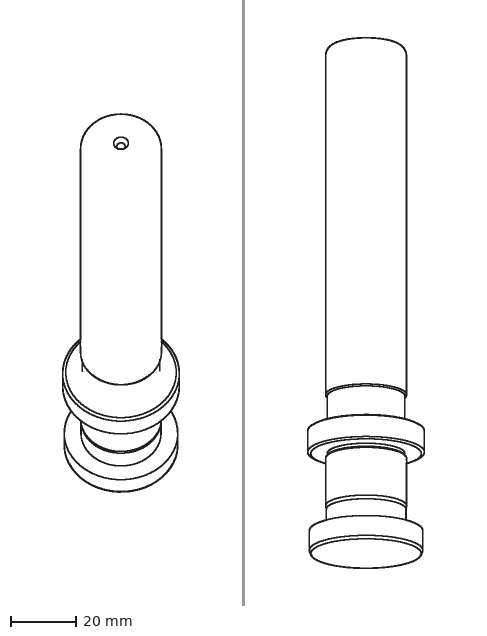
import cadquery as cq
import math

total_height = 162.0
shaft_radius = 12.5
parting_height = 14.1

flange_radius = 17.5
spigot_radius = 12.3
flange_height = 7.3
flange_chamfer_width = 0.5
flange_chamfer_height = 1.0

relief_depth = 0.5
neck_radius = shaft_radius - relief_depth
lower_edge_chamfer = 1.1
tip_fillet = 3.0
collar_radius = 18.0
collar_bottom = 31.9
collar_height = 7.8
collar_top = collar_bottom + collar_height
collar_chamfer_width = 1.0
collar_chamfer_height = 0.5
collar_root_fillet = 1.3
lower_groove_height = 1.5
upper_neck_top = 50.7
relief_taper = 0.5

center_hole_radius = 1.3
center_hole_depth = 4.9
drill_point_angle = 118.0
countersink_radius = 2.3
countersink_angle = 60.0


def make_end_plug():
    """Flange with a beveled lower edge and a plain spigot on top."""
    return (
        cq.Workplane("XZ")
        .moveTo(0, 0)
        .lineTo(flange_radius - flange_chamfer_width, 0)
        .lineTo(flange_radius, flange_chamfer_height)
        .lineTo(flange_radius, flange_height)
        .lineTo(spigot_radius, flange_height)
        .lineTo(spigot_radius, parting_height)
        .lineTo(0, parting_height)
        .close()
        .revolve(360, (0, 0), (0, 1))
    )


def make_center_hole():
    """Blind pilot hole with a conical countersink and a drill point, as a cutting tool."""
    half_angle = math.radians(countersink_angle / 2)
    countersink_depth = (countersink_radius - center_hole_radius) / math.tan(half_angle)
    point_depth = center_hole_radius / math.tan(math.radians(drill_point_angle / 2))
    return (
        cq.Workplane("XZ")
        .moveTo(0, total_height)
        .lineTo(countersink_radius, total_height)
        .lineTo(center_hole_radius, total_height - countersink_depth)
        .lineTo(center_hole_radius, total_height - center_hole_depth)
        .lineTo(0, total_height - center_hole_depth - point_depth)
        .close()
        .revolve(360, (0, 0), (0, 1))
    )


def make_guide_pillar():
    """Turned shaft with a rounded tip, a collar and relief grooves beside it."""
    groove_bottom = collar_bottom - lower_groove_height
    profile = (
        cq.Workplane("XZ")
        .moveTo(0, parting_height)
        .lineTo(shaft_radius - lower_edge_chamfer, parting_height)
        .lineTo(shaft_radius, parting_height + lower_edge_chamfer)
        .lineTo(shaft_radius, groove_bottom)
        .lineTo(neck_radius, groove_bottom + relief_taper)
        .lineTo(neck_radius, collar_bottom)
        .lineTo(collar_radius - collar_chamfer_width, collar_bottom)
        .lineTo(collar_radius, collar_bottom + collar_chamfer_height)
        .lineTo(collar_radius, collar_top - collar_chamfer_height)
        .lineTo(collar_radius - collar_chamfer_width, collar_top)
        .lineTo(neck_radius + collar_root_fillet, collar_top)
        .radiusArc((neck_radius, collar_top + collar_root_fillet), collar_root_fillet)
        .lineTo(neck_radius, upper_neck_top - relief_taper)
        .lineTo(shaft_radius, upper_neck_top)
        .lineTo(shaft_radius, total_height - tip_fillet)
        .radiusArc((shaft_radius - tip_fillet, total_height), -tip_fillet)
        .lineTo(0, total_height)
        .close()
    )
    return profile.revolve(360, (0, 0), (0, 1)).cut(make_center_hole())


end_plug = make_end_plug()
guide_pillar = make_guide_pillar()

result = cq.Compound.makeCompound([end_plug.val(), *guide_pillar.vals()])